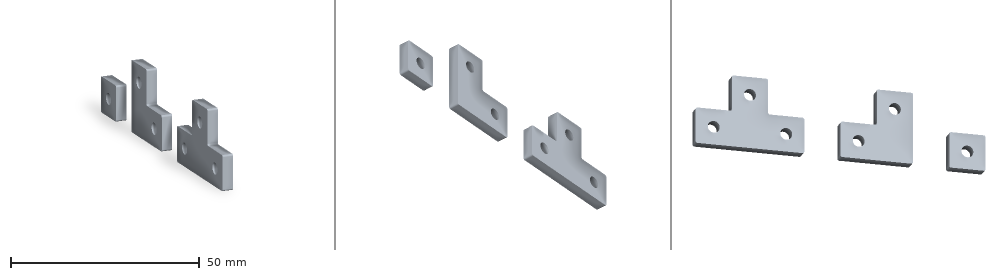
import cadquery as cq

total_length = 80.0
cells_in_row = 8
cell = total_length / cells_in_row
thickness = 3.0
hole_diameter = 3.3
corner_radius = 0.5

square_left = 0.0
corner_left = 2 * cell
tee_left = 5 * cell


def make_plate(left, outline, hole_cells):
    """Upright plate with its front face on Y = 0 and its bottom edge on Z = 0.

    The outline is in cells from the lower left corner; each named cell
    (column, row) has a through hole at its centre.
    """
    corners = [(column * cell, row * cell) for column, row in outline]
    hole_centres = [((column + 0.5) * cell, (row + 0.5) * cell) for column, row in hole_cells]

    front_plane = cq.Workplane("XZ", origin=(left, 0, 0))
    plate = front_plane.polyline(corners).close().extrude(-thickness)
    plate = plate.edges("|Y").fillet(corner_radius)
    holes = front_plane.pushPoints(hole_centres).circle(hole_diameter / 2).extrude(-thickness)
    return plate.cut(holes)


def make_square_plate():
    outline = [(0, 0), (1, 0), (1, 1), (0, 1)]
    return make_plate(square_left, outline, [(0, 0)])


def make_corner_plate():
    outline = [(0, 0), (2, 0), (2, 1), (1, 1), (1, 2), (0, 2)]
    return make_plate(corner_left, outline, [(0, 1), (1, 0)])


def make_tee_plate():
    outline = [(0, 0), (3, 0), (3, 1), (2, 1), (2, 2), (1, 2), (1, 1), (0, 1)]
    return make_plate(tee_left, outline, [(0, 0), (1, 1), (2, 0)])


square_plate = make_square_plate()
corner_plate = make_corner_plate()
tee_plate = make_tee_plate()

result = cq.Compound.makeCompound([square_plate.val(), corner_plate.val(), tee_plate.val()])